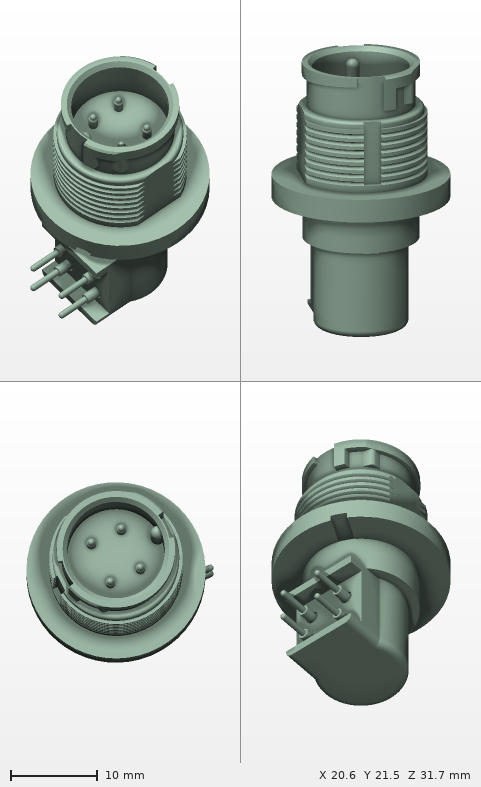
import cadquery as cq
import math

TOP = 31.72
RAIL_BOTTOM = 30.23
STOP_BOTTOM = 27.72
THREAD_TOP = 26.58
FIRST_CREST_TOP = 25.75
COLLAR_TOP = 19.05
FLANGE_TOP = 18.2
FLANGE_BOTTOM = 15.48
HUB_BOTTOM = 10.65
BLOCK_TOP = 10.5

FLANGE_D = 20.62
HUB_D = 13.5
SHELL_D = 12.6
BORE_D = 11.25
BORE_CHAMFER = 0.5

THREAD_D = 15.35
ROOT_D = 14.6
THREAD_PITCH = 0.95
GROOVE_COUNT = 7
GROOVE_OPENING = 0.5
GROOVE_FLOOR = 0.13
THREAD_FILLET = 0.38
THREAD_FLAT_X = 6.98
KEYWAY_WIDTH = 2.03
KEYWAY_FLOOR_Y = 6.98

RAIL_R = 6.82
LOBE_R = 7.05
LOBE_CHAMFER = 0.22
ENTRY_HALF_ANGLE = 13.5
RAIL_END_ANGLE = 90.0 - ENTRY_HALF_ANGLE
RAMP_START_ANGLE = 13.0
RAMP_RISE = 0.45
LOBE_END_ANGLE = -45.0
ENTRY_STOP_X = 2.92
END_STOP_ROOT = (4.15, -4.73)
END_STOP_CORNER = (5.45, -4.35)
END_STOP_FILLET = 0.6

PIN_SPACING_X = 5.08
PIN_SPACING_Y = 3.8
PIN_D = 1.05
PIN_TIP_D = 0.75
PIN_BODY_HEIGHT = 1.27
PIN_TAPER = 0.2
PIN_HEIGHT = 1.97

KEY_D = 1.62
KEY_Y = -5.33
KEY_TOP = 30.45

BLOCK_R = 5.5
BLOCK_HALF_WIDTH = 4.9
BLOCK_FRONT_Y = -7.6
BLOCK_FILLET = 0.85
RECESS_Y = -5.7
RECESS_BOTTOM = 1.08
RECESS_TOP = 9.42

SOLDER_Z = (2.75, 6.57)
SOLDER_D = 0.75
SOLDER_COLLAR_D = 1.27
SOLDER_CLEARANCE_D = 1.62
SOLDER_CLEARANCE_DEPTH = 0.32
SOLDER_COLLAR_END_Y = -7.3
SOLDER_END_Y = -11.2
SOLDER_TIP_FILLET = 0.35

NOTCH_ANGLE = -64.5
NOTCH_WIDTH = 1.97
NOTCH_HEIGHT = 0.75
NOTCH_INNER_R = 6.03
TAB_WIDTH = 1.85
TAB_DEPTH = 0.5
TAB_HEIGHT = 0.15
TAB_Y = 6.15

CLEAR = 0.65


def cylinder(diameter, bottom, top):
    return cq.Workplane("XY").workplane(offset=bottom).circle(diameter / 2).extrude(top - bottom)


def box(x0, x1, y0, y1, z0, z1):
    return cq.Workplane("XY").box(x1 - x0, y1 - y0, z1 - z0, centered=False).translate((x0, y0, z0))


def polar(radius, angle):
    return (radius * math.cos(math.radians(angle)), radius * math.sin(math.radians(angle)))


def make_threaded_body():
    body = cylinder(ROOT_D, FIRST_CREST_TOP, THREAD_TOP).faces(">Z").edges().fillet(THREAD_FILLET)
    body = body.union(cylinder(THREAD_D, FLANGE_TOP, FIRST_CREST_TOP))
    flank = (GROOVE_OPENING - GROOVE_FLOOR) / 2
    for i in range(GROOVE_COUNT):
        low = COLLAR_TOP + i * THREAD_PITCH
        high = low + GROOVE_OPENING
        groove = (
            cq.Workplane("XZ")
            .moveTo(THREAD_D / 2, low)
            .lineTo(ROOT_D / 2, low + flank)
            .lineTo(ROOT_D / 2, high - flank)
            .lineTo(THREAD_D / 2, high)
            .lineTo(THREAD_D / 2 + CLEAR, high)
            .lineTo(THREAD_D / 2 + CLEAR, low)
            .close()
            .revolve(360, (0, 0, 0), (0, 1, 0))
        )
        body = body.cut(groove)
    flat = box(THREAD_FLAT_X, THREAD_D, -THREAD_D, THREAD_D, FLANGE_TOP, THREAD_TOP)
    keyway = box(-KEYWAY_WIDTH / 2, KEYWAY_WIDTH / 2, KEYWAY_FLOOR_Y, THREAD_D, COLLAR_TOP, THREAD_TOP)
    return body.cut(flat).cut(keyway)


def make_flange_and_hub():
    flange = cylinder(FLANGE_D, FLANGE_BOTTOM, FLANGE_TOP)
    hub = cylinder(HUB_D, HUB_BOTTOM, FLANGE_BOTTOM)
    tab = cq.Workplane("XY").box(TAB_WIDTH, TAB_DEPTH, TAB_HEIGHT)
    tab = tab.translate((0, TAB_Y, HUB_BOTTOM - TAB_HEIGHT / 2))
    notch = box(
        NOTCH_INNER_R, FLANGE_D, -NOTCH_WIDTH / 2, NOTCH_WIDTH / 2,
        FLANGE_BOTTOM, FLANGE_BOTTOM + NOTCH_HEIGHT,
    ).rotate((0, 0, 0), (0, 0, 1), NOTCH_ANGLE)
    return flange.cut(notch).union(hub).union(tab)


def make_rail_sector():
    """Curved rail between the two entry gaps, with its underside rising toward the far end."""
    sector = (
        cq.Workplane("XY")
        .workplane(offset=RAIL_BOTTOM)
        .lineTo(*polar(RAIL_R, -RAIL_END_ANGLE))
        .threePointArc((RAIL_R, 0), polar(RAIL_R, RAIL_END_ANGLE))
        .close()
        .extrude(TOP - RAIL_BOTTOM)
    )
    run = RAIL_R * math.sin(math.radians(RAIL_END_ANGLE - RAMP_START_ANGLE))
    ramp = (
        cq.Workplane("YZ")
        .moveTo(0, RAIL_BOTTOM)
        .lineTo(run, RAIL_BOTTOM + RAMP_RISE)
        .lineTo(run, RAIL_BOTTOM)
        .close()
        .extrude(RAIL_R + CLEAR)
        .rotate((0, 0, 0), (0, 0, 1), RAMP_START_ANGLE)
    )
    return sector.cut(ramp)


def make_lobe():
    """Thicker start of a rail, with the entry stop hanging below it and a far end that runs
    out in a flat tangent to the rail."""
    facet_angle = math.degrees(math.acos(RAIL_R / LOBE_R))
    outline = (
        cq.Workplane("XY")
        .workplane(offset=STOP_BOTTOM)
        .lineTo(*polar(2 * LOBE_R, -RAIL_END_ANGLE))
        .lineTo(*polar(2 * LOBE_R, LOBE_END_ANGLE))
        .lineTo(*polar(LOBE_R, LOBE_END_ANGLE))
        .lineTo(*polar(RAIL_R, LOBE_END_ANGLE + facet_angle))
        .close()
        .extrude(TOP - STOP_BOTTOM)
    )
    disc = cylinder(2 * LOBE_R, STOP_BOTTOM, TOP).faces(">Z").edges().chamfer(LOBE_CHAMFER)
    under_lobe = box(ENTRY_STOP_X, LOBE_R, -LOBE_R, 0, STOP_BOTTOM, RAIL_BOTTOM)
    return disc.intersect(outline).cut(under_lobe)


def make_end_stop():
    stop = (
        cq.Workplane("XY")
        .workplane(offset=STOP_BOTTOM)
        .lineTo(*END_STOP_ROOT)
        .lineTo(*END_STOP_CORNER)
        .lineTo(END_STOP_CORNER[0], 0)
        .close()
        .extrude(RAIL_BOTTOM - STOP_BOTTOM)
    )
    return stop.edges("|Z and >X").edges("<Y").fillet(END_STOP_FILLET)


def make_shell():
    shell = cylinder(SHELL_D, THREAD_TOP, TOP)
    rail = make_rail_sector().union(make_lobe()).union(make_end_stop())
    for turn in (0, 180):
        shell = shell.union(rail.rotate((0, 0, 0), (0, 0, 1), turn))
    bore = cylinder(BORE_D, THREAD_TOP, TOP)
    mouth = (
        cq.Workplane("XZ")
        .moveTo(0, TOP - BORE_CHAMFER)
        .lineTo(BORE_D / 2, TOP - BORE_CHAMFER)
        .lineTo(BORE_D / 2 + BORE_CHAMFER, TOP)
        .lineTo(0, TOP)
        .close()
        .revolve(360, (0, 0, 0), (0, 1, 0))
    )
    return shell.cut(bore).cut(mouth)


def make_key():
    radius = KEY_D / 2
    key = cylinder(KEY_D, THREAD_TOP, KEY_TOP - radius)
    dome = cq.Workplane("XY").sphere(radius).translate((0, 0, KEY_TOP - radius))
    key = key.union(dome).translate((0, KEY_Y, 0))
    return key.intersect(cylinder(SHELL_D, THREAD_TOP, TOP))


def make_contact_pins():
    body_r = PIN_D / 2
    tip_r = PIN_TIP_D / 2
    pin = (
        cq.Workplane("XZ")
        .lineTo(body_r, 0)
        .lineTo(body_r, PIN_BODY_HEIGHT)
        .lineTo(tip_r, PIN_BODY_HEIGHT + PIN_TAPER)
        .lineTo(tip_r, PIN_HEIGHT - tip_r)
        .radiusArc((0, PIN_HEIGHT), -tip_r)
        .close()
        .revolve(360, (0, 0, 0), (0, 1, 0))
        .translate((0, 0, THREAD_TOP))
    )
    pins = cq.Workplane("XY")
    for x in (-PIN_SPACING_X / 2, PIN_SPACING_X / 2):
        for y in (-PIN_SPACING_Y / 2, PIN_SPACING_Y / 2):
            pins = pins.add(pin.translate((x, y, 0)))
    return pins.combine()


def make_block():
    """Round-backed block with flat sides, its lower edge rounded all along the back and sides."""
    side_y = -math.sqrt(BLOCK_R**2 - BLOCK_HALF_WIDTH**2)
    block = (
        cq.Workplane("XY")
        .moveTo(-BLOCK_HALF_WIDTH, BLOCK_FRONT_Y)
        .lineTo(BLOCK_HALF_WIDTH, BLOCK_FRONT_Y)
        .lineTo(BLOCK_HALF_WIDTH, side_y)
        .threePointArc((0, BLOCK_R), (-BLOCK_HALF_WIDTH, side_y))
        .close()
        .extrude(BLOCK_TOP)
    )
    block = block.faces("<Z").edges("not <Y").fillet(BLOCK_FILLET)
    recess = box(
        -BLOCK_HALF_WIDTH, BLOCK_HALF_WIDTH, BLOCK_FRONT_Y, RECESS_Y, RECESS_BOTTOM, RECESS_TOP,
    )
    neck = cylinder(2 * BLOCK_R, BLOCK_TOP, HUB_BOTTOM)
    return block.cut(recess).union(neck)


def along_minus_y(diameter, start_y, end_y):
    return cq.Workplane("XZ", origin=(0, start_y, 0)).circle(diameter / 2).extrude(start_y - end_y)


def add_solder_pins(block):
    seat_y = RECESS_Y + SOLDER_CLEARANCE_DEPTH
    clearance = along_minus_y(SOLDER_CLEARANCE_D, seat_y, RECESS_Y)
    collar = along_minus_y(SOLDER_COLLAR_D, seat_y, SOLDER_COLLAR_END_Y)
    pin = along_minus_y(SOLDER_D, seat_y, SOLDER_END_Y).faces("<Y").edges().fillet(SOLDER_TIP_FILLET)
    pin = pin.union(collar)
    for x in (-PIN_SPACING_X / 2, PIN_SPACING_X / 2):
        for z in SOLDER_Z:
            block = block.cut(clearance.translate((x, 0, z))).union(pin.translate((x, 0, z)))
    return block


result = (
    make_threaded_body()
    .union(make_flange_and_hub())
    .union(make_shell())
    .union(make_key())
    .union(make_contact_pins())
    .union(add_solder_pins(make_block()))
)